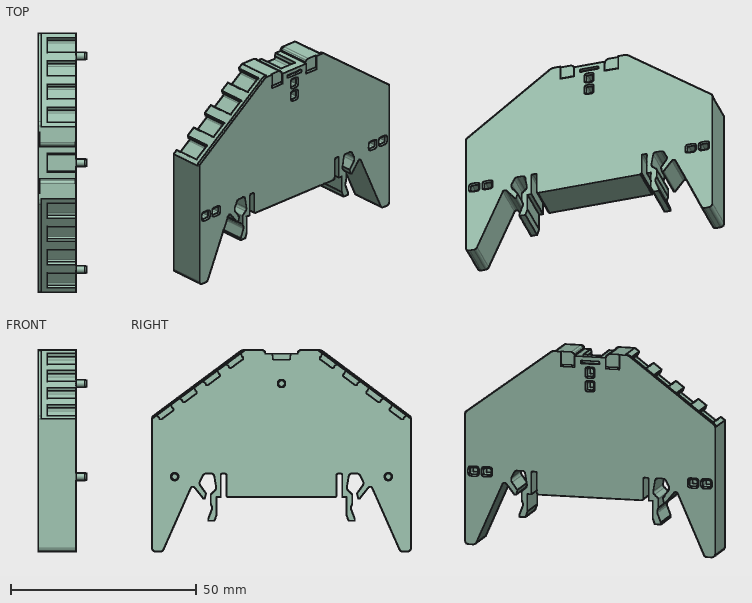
import cadquery as cq
import math

body_thickness = 10.3
half_length = 35.0
height = 54.5

plate_thickness = 0.8
plate_shoulder_z = 36.4
plate_top_half_width = 10.65
plate_top_radius = 2.0
plate_shoulder_radius = 0.9
roof_shoulder_z = 35.9
roof_top_half_width = 9.75

foot_radius = 1.0
foot_inner_y = 32.1
notch_apex_y = 24.1
notch_apex_z = 18.05
notch_radius = 0.6
relief_top_z = 21.05
underside_z = 14.7
relief_slot_outer_y = 16.4
relief_slot_inner_y = 14.9
relief_slot_radius = 0.4
underside_chamfer = 0.35

spur_tip_outer_y = 21.1
spur_tip_inner_y = 20.7
spur_tip_z = 14.3
spur_tip_radius = 0.15
spur_lip_y = 20.35
spur_lip_z = 15.7
window_outer_y = 22.3
window_outer_z = 18.4
window_outer_radius = 1.2
window_top_outer_y = 20.95
window_top_outer_radius = 1.0
window_top_inner_y = 18.3
window_top_inner_radius = 0.8
window_inner_y = 17.6
window_inner_z = 16.9
window_inner_radius = 1.0

clip_outer_y = 19.15
clip_neck_top_z = 15.45
clip_neck_radius = 0.2
clip_neck_bottom_z = 12.95
clip_waist_y = 18.7
clip_waist_z = 11.8
clip_waist_radius = 0.7
clip_tip_outer_y = 19.8
clip_tip_inner_y = 18.1
clip_tip_shoulder_z = 8.9
clip_tip_z = 8.3
clip_inner_y = 17.5
clip_inner_bend_z = 9.95

saddle_half_width = 4.35
saddle_depth = 1.0
shoulder_radius = 1.0
shoulder_bevel = 0.43
lip_thickness = 0.3

recess_outer_y = 8.2
recess_depth = 0.4
recess_bottom_z = 50.45
recess_ramp_height = 0.45

pocket_start_x = 2.5
pocket_length = 4.95
pocket_depth = 1.65
pocket_wall_depth = 0.9
pocket_wall_draft = 17.0
pocket_groove_reach = 0.6
pocket_pitch = 7.8
pocket_first_offset = 1.55
pockets_per_side = 4
saddle_pocket_length = 5.15

pin_radius = 1.05
pin_length = 2.9
pin_tip_length = 0.6
pin_tip_inset = 0.2
side_pin_y = 28.85
side_pin_z = 20.25
top_pin_z = 45.4
socket_pitch = 3.75
sockets_per_pin = 2
socket_length = 3.1
socket_width = 2.75
socket_corner_radius = 0.9
socket_lead_in = 0.42
socket_depth = 3.0
socket_taper = 4.0

label_slot_length = 5.3
label_slot_height = 0.85
label_slot_z = 51.95
label_slot_depth = 1.0


def rounded_outline(corners):
    """Closed wire in the YZ plane through corners (y, z, radius), rounding those with a radius."""
    path = None
    count = len(corners)
    for i, (y, z, radius) in enumerate(corners):
        corner = cq.Vector(y, z)
        before = cq.Vector(*corners[i - 1][:2]) - corner
        after = cq.Vector(*corners[(i + 1) % count][:2]) - corner
        before = before.normalized()
        after = after.normalized()
        half_angle = before.getAngle(after) / 2
        setback = radius / math.tan(half_angle)
        entry = corner + before * setback
        leave = corner + after * setback
        if path is None:
            path = cq.Workplane("YZ").moveTo(entry.x, entry.y)
        else:
            path = path.lineTo(entry.x, entry.y)
        if radius > 0:
            to_center = (before + after).normalized()
            middle = corner + to_center * (radius / math.sin(half_angle) - radius)
            path = path.threePointArc((middle.x, middle.y), (leave.x, leave.y))
    return path.close()


def mirrored(half):
    """Full outline from the +Y half, listed from the top down to the underside."""
    return half + [(-y, z, radius) for y, z, radius in reversed(half)]


def underside_corners():
    """+Y half of the underside, from the foot inwards, with the rail clip."""
    foot = [
        (half_length, 0, foot_radius),
        (foot_inner_y, 0, foot_radius),
        (notch_apex_y, notch_apex_z, notch_radius),
    ]
    spur = [
        (spur_tip_outer_y, spur_tip_z, spur_tip_radius),
        (spur_tip_inner_y, spur_tip_z, spur_tip_radius),
        (spur_lip_y, spur_lip_z, 0),
    ]
    clip_window = [
        (window_outer_y, window_outer_z, window_outer_radius),
        (window_top_outer_y, relief_top_z, window_top_outer_radius),
        (window_top_inner_y, relief_top_z, window_top_inner_radius),
        (window_inner_y, window_inner_z, window_inner_radius),
        (clip_outer_y, clip_neck_top_z, clip_neck_radius),
    ]
    clip = [
        (clip_outer_y, clip_neck_bottom_z, 0),
        (clip_waist_y, clip_waist_z, clip_waist_radius),
        (clip_tip_outer_y, clip_tip_shoulder_z, 0),
        (clip_tip_outer_y, clip_tip_z, 0),
        (clip_tip_inner_y, clip_tip_z, 0),
        (clip_inner_y, clip_inner_bend_z, 0),
        (clip_inner_y, underside_z, 0),
    ]
    relief_slot = [
        (relief_slot_outer_y, underside_z, 0),
        (relief_slot_outer_y, relief_top_z, relief_slot_radius),
        (relief_slot_inner_y, relief_top_z, relief_slot_radius),
        (relief_slot_inner_y, underside_z + underside_chamfer, 0),
        (relief_slot_inner_y - underside_chamfer, underside_z, 0),
    ]
    return foot + spur + clip_window + clip + relief_slot


def make_body():
    underside = underside_corners()
    plate_half = [
        (plate_top_half_width, height, plate_top_radius),
        (half_length, plate_shoulder_z, plate_shoulder_radius),
    ] + underside
    roof_half = [
        (roof_top_half_width, height, 0),
        (half_length, roof_shoulder_z, 0),
    ] + underside
    plate = rounded_outline(mirrored(plate_half)).extrude(plate_thickness)
    block = rounded_outline(mirrored(roof_half)).extrude(body_thickness)
    return plate.union(block)


def make_bevelled_saddle():
    """Cutter for most of the saddle: flat floor, short walls, bevels and rounded shoulders."""
    arc_run = shoulder_radius * math.sin(math.pi / 4)
    arc_drop = shoulder_radius - arc_run
    bevel_y = saddle_half_width + shoulder_bevel
    top_y = bevel_y + arc_run
    bevel_top_z = height - arc_drop
    mid_y = top_y - shoulder_radius * math.sin(math.pi / 8)
    mid_z = height - shoulder_radius * (1 - math.cos(math.pi / 8))
    wall_top_z = bevel_top_z - shoulder_bevel
    floor_z = height - saddle_depth
    return (
        cq.Workplane("YZ")
        .moveTo(-top_y, height)
        .threePointArc((-mid_y, mid_z), (-bevel_y, bevel_top_z))
        .lineTo(-saddle_half_width, wall_top_z)
        .lineTo(-saddle_half_width, floor_z)
        .lineTo(saddle_half_width, floor_z)
        .lineTo(saddle_half_width, wall_top_z)
        .lineTo(bevel_y, bevel_top_z)
        .threePointArc((mid_y, mid_z), (top_y, height))
        .close()
        .extrude(body_thickness - lip_thickness)
    )


def make_lip_saddle():
    """Cutter for the saddle through the thin lip on the +X side, with quarter-round shoulders."""
    floor_z = height - saddle_depth
    top_y = saddle_half_width + saddle_depth
    mid_y = top_y - saddle_depth * math.cos(math.pi / 4)
    mid_z = floor_z + saddle_depth * math.sin(math.pi / 4)
    return (
        cq.Workplane("YZ", origin=(body_thickness - lip_thickness, 0, 0))
        .moveTo(-top_y, height)
        .threePointArc((-mid_y, mid_z), (-saddle_half_width, floor_z))
        .lineTo(saddle_half_width, floor_z)
        .threePointArc((mid_y, mid_z), (top_y, height))
        .close()
        .extrude(lip_thickness)
    )


def make_recess(side):
    """Cutter for the recess beside the saddle; its lower end ramps out to the -X face."""
    width = recess_outer_y - saddle_half_width
    recess = (
        cq.Workplane("XZ")
        .moveTo(0, height)
        .lineTo(recess_depth, height)
        .lineTo(recess_depth, recess_bottom_z + recess_ramp_height)
        .lineTo(0, recess_bottom_z)
        .close()
        .extrude(width / 2, both=True)
    )
    return recess.translate((0, side * (recess_outer_y + saddle_half_width) / 2, 0))


def make_pocket(length):
    """Pocket cutter with its mouth centred on the Y axis at Z = 0.

    The end walls lean inwards, then a round groove undercuts them and runs into the floor.
    """
    mouth_y = length / 2
    wall_y = mouth_y - pocket_wall_depth * math.tan(math.radians(pocket_wall_draft))
    floor_y = mouth_y - pocket_groove_reach
    groove_width = wall_y - floor_y
    groove_height = pocket_depth - pocket_wall_depth
    groove_radius = (groove_width**2 + groove_height**2) / (2 * groove_height)
    groove_z = groove_radius - pocket_depth
    mid_y = floor_y + groove_radius * math.cos(math.pi / 4)
    mid_z = groove_z - groove_radius * math.sin(math.pi / 4)
    return (
        cq.Workplane("YZ", origin=(pocket_start_x, 0, 0))
        .moveTo(-mouth_y, 0)
        .lineTo(-wall_y, -pocket_wall_depth)
        .threePointArc((-mid_y, mid_z), (-floor_y, -pocket_depth))
        .lineTo(floor_y, -pocket_depth)
        .threePointArc((mid_y, mid_z), (wall_y, -pocket_wall_depth))
        .lineTo(mouth_y, 0)
        .close()
        .extrude(body_thickness - pocket_start_x)
    )


def make_roof_pockets():
    """Pockets down both slopes and one in the saddle floor."""
    run = half_length - roof_top_half_width
    drop = height - roof_shoulder_z
    slope = math.atan2(drop, run)
    pockets = make_pocket(saddle_pocket_length).translate((0, 0, height - saddle_depth))
    for side in (1, -1):
        tilted = make_pocket(pocket_length).rotate((0, 0, 0), (1, 0, 0), -side * math.degrees(slope))
        for i in range(pockets_per_side):
            distance = pocket_first_offset + pocket_length / 2 + i * pocket_pitch
            y = side * (roof_top_half_width + distance * math.cos(slope))
            z = height - distance * math.sin(slope)
            pockets = pockets.union(tilted.translate((0, y, z)))
    return pockets


def make_pin(y, z):
    tip_radius = pin_radius - pin_tip_inset
    shank_end = body_thickness + pin_length - pin_tip_length
    pin_end = body_thickness + pin_length
    return (
        cq.Workplane("XY")
        .moveTo(body_thickness, 0)
        .lineTo(body_thickness, pin_radius)
        .lineTo(shank_end, pin_radius)
        .lineTo(pin_end, tip_radius)
        .lineTo(pin_end, 0)
        .close()
        .revolve(360, (0, 0, 0), (1, 0, 0))
        .translate((0, y, z))
    )


def make_socket(y, z, y_size, z_size):
    """Socket cutter: bevelled mouth on the -X face, then a slightly tapering blind hole."""
    mouth = cq.Sketch().rect(y_size, z_size).vertices().fillet(socket_corner_radius)
    throat_radius = socket_corner_radius - socket_lead_in
    throat = (
        cq.Sketch()
        .rect(y_size - 2 * socket_lead_in, z_size - 2 * socket_lead_in)
        .vertices()
        .fillet(throat_radius)
    )
    lead_in = cq.Workplane("YZ").placeSketch(mouth).extrude(socket_lead_in, taper=45)
    hole = cq.Workplane("YZ").placeSketch(throat).extrude(socket_depth, taper=socket_taper)
    return lead_in.union(hole).translate((0, y, z))


def make_label_slot():
    return (
        cq.Workplane("YZ")
        .center(0, label_slot_z)
        .slot2D(label_slot_length, label_slot_height)
        .extrude(label_slot_depth)
    )


body = make_body()
body = body.cut(make_bevelled_saddle().union(make_lip_saddle()))
body = body.cut(make_roof_pockets())
body = body.cut(make_label_slot())

for side in (1, -1):
    body = body.cut(make_recess(side))
    body = body.union(make_pin(side * side_pin_y, side_pin_z))
body = body.union(make_pin(0, top_pin_z))

for i in range(sockets_per_pin):
    shift = i * socket_pitch
    body = body.cut(make_socket(0, top_pin_z + shift, socket_width, socket_length))
    for side in (1, -1):
        body = body.cut(make_socket(side * (side_pin_y + shift), side_pin_z, socket_length, socket_width))

result = body